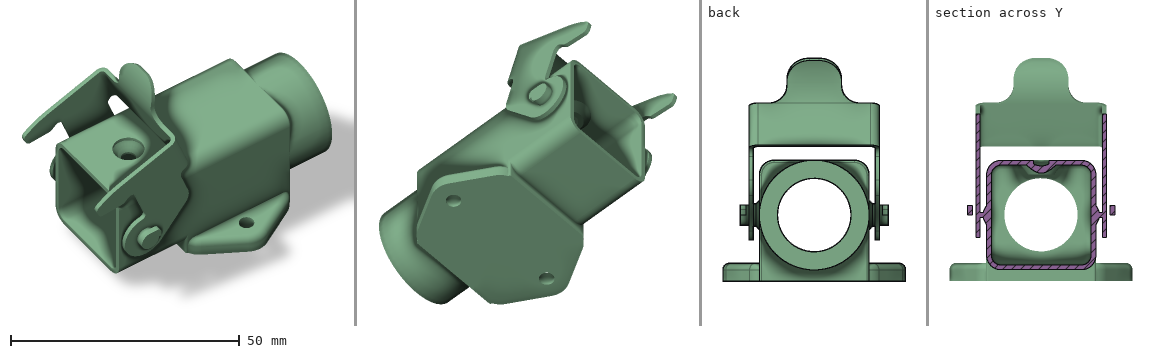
import cadquery as cq
import math


shell_size = 24.0
shell_bottom = 2.5
shell_top = shell_bottom + shell_size
shell_mid = shell_bottom + shell_size / 2
shell_corner = 3.2
mouth_y = -32.0
block_half_length = 14.0
block_edge_radius = 0.5
entry_end_y = 25.0
entry_bore = 16.0

wall = 1.15
rear_wall = 2.0
cavity_size = shell_size - 2 * wall
cavity_corner = shell_corner - wall
cavity_floor_y = block_half_length - rear_wall
cavity_floor_fillet = 1.0

flange_thickness = 4.0
flange_corner = 5.0
flange_hole_x = 15.0
flange_hole = 3.4
flange_side_angle = 30.0
flange_edge_fillet = 1.5

screw_y = -21.0
screw_hole = 3.3
screw_head = 7.0
screw_head_step = 0.8
seat_bottom = 23.3
seat_top_radius = 4.45
seat_bottom_radius = 2.85

pin_y = -26.5
pin_radius = 2.25
pin_end_x = 16.2
collar_radius = 2.5
collar_cone_height = 0.7
key_reach = 2.9
key_thickness = 1.25
key_corner = 1.0

lever_tilt = 20.0
sheet = 1.0
lever_half_width = 14.3
lever_bend = 2.0
eye_radius = 5.5
back_y = 16.7
back_bottom = 10.2
lever_top = 20.0
neck_rear_y = 13.3
neck_front_y = 2.25
neck_slope = 30.0
hook_throat = (-neck_front_y, 15.7)
hook_heel = (1.0, 14.35)
hook_underside_angle = 15.0
hook_tip = 7.18
notch_radius = 1.45
knee_radius = 3.5
eye_fillet = 1.0
hook_throat_radius = 1.25
hook_heel_radius = 2.0
hook_tip_radius = 1.15

tab_half_width = 6.0
tab_root_radius = 4.0
tab_tip_radius = 5.0
tab_bend = 11.5
tab_sweep = 52.7


def rounded_square(size, corner, y_front, y_rear):
    """Square bar along Y, centred on the shell axis, with rounded long edges."""
    bar = cq.Workplane("XY").box(size, y_rear - y_front, size)
    bar = bar.edges("|Y").fillet(corner)
    return bar.translate((0, (y_front + y_rear) / 2, shell_mid))


def rod_y(diameter, y_front, y_rear):
    """Cylinder along Y on the shell axis."""
    plane = cq.Workplane("XZ", origin=(0, y_rear, shell_mid))
    return plane.circle(diameter / 2).extrude(y_rear - y_front)


def make_block():
    """Base block under the rear of the shell, softened at its end faces."""
    block = cq.Workplane("XY").box(
        shell_size, 2 * block_half_length, shell_top, centered=(True, True, False)
    )
    block = block.edges("|Y and >Z").fillet(shell_corner)
    block = block.edges(">Y").edges("not <Z").fillet(block_edge_radius)
    return block.edges("|Z and <Y").fillet(block_edge_radius)


def make_flange():
    """Two-hole flange: hexagonal outline with rounded corners and top edge."""
    shoulder_y = block_half_length - flange_corner
    shoulder_x = flange_hole_x - shoulder_y * math.tan(math.radians(flange_side_angle))
    centers = [
        (flange_hole_x, 0),
        (shoulder_x, shoulder_y),
        (-shoulder_x, shoulder_y),
        (-flange_hole_x, 0),
        (-shoulder_x, -shoulder_y),
        (shoulder_x, -shoulder_y),
    ]
    outline = cq.Workplane("XY").polyline(centers).close().offset2D(flange_corner, "arc")
    flange = outline.extrude(flange_thickness)
    return flange.faces(">Z").edges().fillet(flange_edge_fillet)


def cut_flange_holes(body):
    holes = cq.Workplane("XY").pushPoints([(-flange_hole_x, 0), (flange_hole_x, 0)])
    return body.cut(holes.circle(flange_hole / 2).extrude(flange_thickness))


def revolve_about_z(profile, y):
    """Turn a closed (radius, height) profile about a vertical axis at the given Y."""
    turned = cq.Workplane("XZ").polyline(profile).close().revolve(360, (0, 0), (0, 1))
    return turned.translate((0, y, 0))


def add_screw_seat(body):
    """Conical boss hanging from the roof, with a countersunk through hole."""
    roof_underside = shell_top - wall
    roof_middle = shell_top - wall / 2
    boss = revolve_about_z(
        [
            (0, seat_bottom),
            (seat_bottom_radius, seat_bottom),
            (seat_top_radius, roof_underside),
            (seat_top_radius, roof_middle),
            (0, roof_middle),
        ],
        screw_y,
    )
    cone_top = shell_top - screw_head_step
    cone_bottom = cone_top - (screw_head - screw_hole) / 2
    hole = revolve_about_z(
        [
            (0, seat_bottom),
            (screw_hole / 2, seat_bottom),
            (screw_hole / 2, cone_bottom),
            (screw_head / 2, cone_top),
            (screw_head / 2, shell_top),
            (0, shell_top),
        ],
        screw_y,
    )
    return body.union(boss).cut(hole)


def make_housing():
    housing = rounded_square(shell_size, shell_corner, mouth_y, 0)
    housing = housing.union(make_block()).union(make_flange())
    housing = housing.union(rod_y(shell_size, 0, entry_end_y))
    cavity = rounded_square(cavity_size, cavity_corner, mouth_y, cavity_floor_y)
    cavity = cavity.faces(">Y").edges().fillet(cavity_floor_fillet)
    housing = housing.cut(cavity).cut(rod_y(entry_bore, 0, entry_end_y))
    return add_screw_seat(cut_flange_holes(housing))


def make_pin():
    """Pivot pin on the +X side: coned collar, shaft and keyed head."""
    side_x = shell_size / 2
    lever_inner_x = lever_half_width - sheet
    base = cq.Workplane("YZ", origin=(side_x, pin_y, shell_mid))
    pin = base.circle(pin_radius).extrude(pin_end_x - side_x)
    cone_radius = collar_radius + collar_cone_height
    collar = base.circle(cone_radius).extrude(collar_cone_height, taper=45)
    collar = collar.union(base.circle(collar_radius).extrude(lever_inner_x - side_x))
    key = (
        cq.Workplane("YZ", origin=(pin_end_x, pin_y, shell_mid))
        .rect(key_reach, pin_radius, centered=False)
        .extrude(-key_thickness)
        .edges("|X and >Y and >Z")
        .fillet(key_corner)
    )
    return pin.union(collar).union(key)


def side_profile():
    """Side outline of the lever as a solid across its whole width."""
    slope = math.radians(neck_slope)
    eye_tangent = (-eye_radius * math.sin(slope), -eye_radius * math.cos(slope))
    knee_run = neck_rear_y + eye_tangent[0]
    knee = (-neck_rear_y, eye_tangent[1] + knee_run * math.tan(slope))
    tip_run = hook_tip - hook_heel[0]
    tip_low = (hook_tip, hook_heel[1] + tip_run * math.tan(math.radians(hook_underside_angle)))
    tip_high = (hook_tip, math.sqrt(lever_top**2 - hook_tip**2))
    crown_mid = (hook_tip / 2, math.sqrt(lever_top**2 - (hook_tip / 2) ** 2))
    notch = (-neck_rear_y, back_bottom)
    eye_junction = (-neck_front_y, math.sqrt(eye_radius**2 - neck_front_y**2))

    view = cq.Plane(origin=(0, 0, 0), xDir=(0, -1, 0), normal=(-1, 0, 0))
    arm = (
        cq.Workplane(view)
        .moveTo(-back_y, lever_top)
        .lineTo(-back_y, back_bottom)
        .lineTo(*notch)
        .lineTo(*knee)
        .lineTo(*eye_tangent)
        .lineTo(0, 0)
        .lineTo(-neck_front_y, 0)
        .lineTo(*hook_throat)
        .lineTo(*hook_heel)
        .lineTo(*tip_low)
        .lineTo(*tip_high)
        .threePointArc(crown_mid, (0, lever_top))
        .close()
        .extrude(lever_half_width, both=True)
    )
    eye = cq.Workplane(view).circle(eye_radius).extrude(lever_half_width, both=True)
    profile = arm.union(eye)

    corner_radii = [
        (notch, notch_radius),
        (knee, knee_radius),
        (eye_junction, eye_fillet),
        (hook_throat, hook_throat_radius),
        (hook_heel, hook_heel_radius),
        (tip_low, hook_tip_radius),
        (tip_high, hook_tip_radius),
    ]
    for (forward, up), radius in corner_radii:
        corner = cq.selectors.NearestToPointSelector((0, -forward, up))
        profile = profile.edges("|X").edges(corner).fillet(radius)
    return profile


def make_bent_sheet():
    """U-shaped sheet, open toward the mouth, tall enough for the whole profile."""
    reach = hook_tip + back_y
    height = lever_top + eye_radius
    outer = cq.Workplane("XY").box(2 * lever_half_width, reach, height)
    inner = cq.Workplane("XY").box(2 * (lever_half_width - sheet), reach, height)
    outer = outer.edges("|Z and >Y").fillet(lever_bend)
    inner = inner.edges("|Z and >Y").fillet(lever_bend - sheet)
    bent = outer.cut(inner.translate((0, -sheet, 0)))
    return bent.translate((0, back_y - reach / 2, height / 2 - eye_radius))


def make_tab():
    """Curled thumb tab with a flared root and rounded tip."""
    root_half_width = tab_half_width + tab_root_radius
    center_y = back_y - sheet + tab_bend
    sweep = math.radians(tab_sweep)
    inner_bend = tab_bend - sheet

    def on_bend(radius, angle):
        return (center_y - radius * math.cos(angle), lever_top + radius * math.sin(angle))

    strip = (
        cq.Workplane("YZ")
        .moveTo(*on_bend(tab_bend, 0))
        .threePointArc(on_bend(tab_bend, sweep / 2), on_bend(tab_bend, sweep))
        .lineTo(*on_bend(inner_bend, sweep))
        .threePointArc(on_bend(inner_bend, sweep / 2), on_bend(inner_bend, 0))
        .close()
        .extrude(root_half_width, both=True)
    )
    flare_top = lever_top + tab_root_radius
    flare_inset = tab_root_radius * math.sqrt(0.5)
    flare_mid = (root_half_width - flare_inset, flare_top - flare_inset)
    outline = (
        cq.Workplane("XZ")
        .moveTo(-root_half_width, lever_top)
        .threePointArc((-flare_mid[0], flare_mid[1]), (-tab_half_width, flare_top))
        .lineTo(-tab_half_width, lever_top + tab_bend)
        .lineTo(tab_half_width, lever_top + tab_bend)
        .lineTo(tab_half_width, flare_top)
        .threePointArc(flare_mid, (root_half_width, lever_top))
        .close()
        .extrude(-2 * center_y)
    )
    tab = strip.intersect(outline)
    tip_y, tip_z = on_bend(tab_bend, sweep)
    tip_plane = cq.Plane(
        origin=(0, tip_y, tip_z),
        xDir=(1, 0, 0),
        normal=(0, -math.cos(sweep), math.sin(sweep)),
    )
    start_x = tab_half_width - tab_tip_radius
    inset = tab_tip_radius * (1 - math.sqrt(0.5))
    for side in (-1, 1):
        spandrel = (
            cq.Workplane(tip_plane)
            .moveTo(side * start_x, 0)
            .lineTo(side * tab_half_width, 0)
            .lineTo(side * tab_half_width, -tab_tip_radius)
            .threePointArc((side * (tab_half_width - inset), -inset), (side * start_x, 0))
            .close()
            .extrude(2 * tab_tip_radius, both=True)
        )
        tab = tab.cut(spandrel)
    return tab


def make_lever():
    lever = make_bent_sheet().intersect(side_profile()).union(make_tab())
    lever = lever.rotate((0, 0, 0), (1, 0, 0), lever_tilt)
    return lever.translate((0, pin_y, shell_mid))


pin = make_pin()
result = make_housing().union(pin).union(pin.mirror("YZ")).union(make_lever())